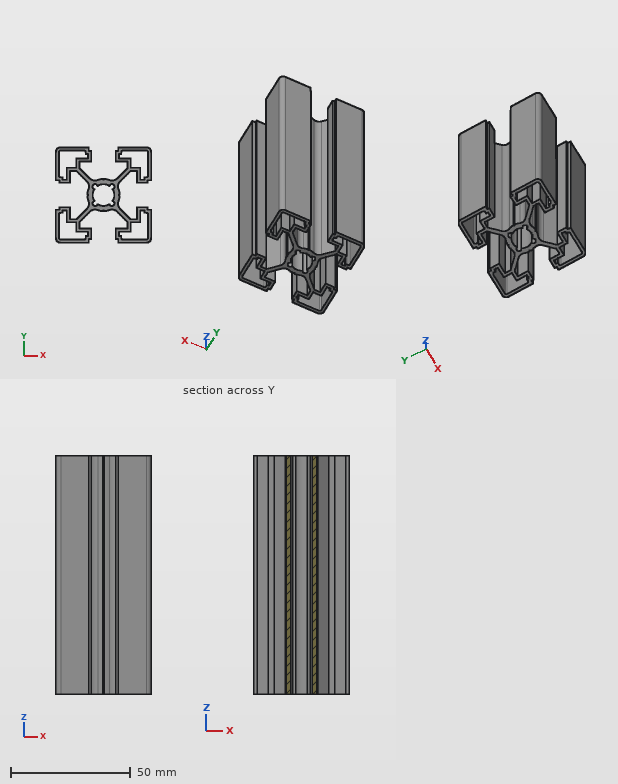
import cadquery as cq
import math

SIDE = 40.0
HALF_SIDE = SIDE / 2
LENGTH = 100.0

WALL = 1.4
MOUTH_HALF = 6.1
MOUTH_DEPTH = 1.5
LIP_HALF = 5.1
LIP_BACK = 14.0
SLOT_HALF = 10.05
CORNER_RADIUS = 2.0
CAVITY_CORNER_RADIUS = CORNER_RADIUS - WALL

WEB_THICKNESS = 1.8
WEB_FILLET = 3.0
WEB_REACH = (SLOT_HALF + WALL / 2) * math.sqrt(2)
CORE_RADIUS = 6.8

NOTCH_HALF = 0.4
NOTCH_DEPTH = 0.4

BORE_RADIUS = 4.5
GROOVE_OFFSET = 3.5
GROOVE_RADIUS = 1.05

QUARTER_TURNS = (0, 90, 180, 270)
EDGE_REACH = 0.01


def prism(points):
    """Solid of the full length with the given outline."""
    return cq.Workplane("XY").polyline(points).close().extrude(LENGTH)


def cylinder(radius):
    return cq.Workplane("XY").circle(radius).extrude(LENGTH)


def turned(solid, angle):
    """Copy of the solid turned about the profile's axis."""
    return solid.rotate((0, 0, 0), (0, 0, 1), angle)


def fillet_edge(solid, x, y, radius):
    """Round the lengthwise edge that passes through (x, y)."""
    low = (x - EDGE_REACH, y - EDGE_REACH, 0)
    high = (x + EDGE_REACH, y + EDGE_REACH, LENGTH)
    return solid.edges(cq.selectors.BoxSelector(low, high)).fillet(radius)


def tube_outline(inset):
    """Outline of the tube in the +X +Y corner, moved inwards by `inset`."""
    face = HALF_SIDE - inset
    mouth = MOUTH_HALF + inset
    mouth_floor = HALF_SIDE - MOUTH_DEPTH - inset
    lip = LIP_HALF + inset
    lip_back = LIP_BACK + inset
    slot = SLOT_HALF + inset
    y_slot_side = [(mouth, face), (mouth, mouth_floor), (lip, mouth_floor), (lip, lip_back), (slot, lip_back)]
    x_slot_side = [(y, x) for x, y in reversed(y_slot_side)]
    return [(face, face)] + y_slot_side + [(slot, slot)] + x_slot_side


def corner_tube():
    outside = fillet_edge(prism(tube_outline(0)), HALF_SIDE, HALF_SIDE, CORNER_RADIUS)
    face = HALF_SIDE - WALL
    mouth = MOUTH_HALF + WALL
    cavity = prism(tube_outline(WALL))
    for x, y in ((face, face), (mouth, face), (face, mouth)):
        cavity = fillet_edge(cavity, x, y, CAVITY_CORNER_RADIUS)
    return outside.cut(cavity)


def core_with_webs():
    """Solid core and the four diagonal webs, with fillets where they meet."""
    core = cylinder(CORE_RADIUS)
    web_pair = cq.Workplane("XY").rect(2 * WEB_REACH, WEB_THICKNESS).extrude(LENGTH)
    for angle in (45, 135):
        core = core.union(turned(web_pair, angle))
    half_web_angle = math.asin(WEB_THICKNESS / 2 / CORE_RADIUS)
    for turn in QUARTER_TURNS:
        for side in (-1, 1):
            angle = math.radians(45 + turn) + side * half_web_angle
            x = CORE_RADIUS * math.cos(angle)
            y = CORE_RADIUS * math.sin(angle)
            core = fillet_edge(core, x, y, WEB_FILLET)
    return core


def grooved_bore():
    bore = cylinder(BORE_RADIUS)
    groove = cylinder(GROOVE_RADIUS).translate((GROOVE_OFFSET, GROOVE_OFFSET, 0))
    for turn in QUARTER_TURNS:
        bore = bore.union(turned(groove, turn))
    return bore


def core_notch():
    """V-shaped cutter for the notch on the +X side of the core."""
    rim = math.sqrt(CORE_RADIUS**2 - NOTCH_HALF**2)
    outside = CORE_RADIUS + NOTCH_DEPTH
    bottom = CORE_RADIUS - NOTCH_DEPTH
    return prism([
        (bottom, 0),
        (rim, -NOTCH_HALF),
        (outside, -NOTCH_HALF),
        (outside, NOTCH_HALF),
        (rim, NOTCH_HALF),
    ])


result = core_with_webs().cut(grooved_bore())
notch = core_notch()
tube = corner_tube()
for turn in QUARTER_TURNS:
    result = result.cut(turned(notch, turn))
    result = result.union(turned(tube, turn))